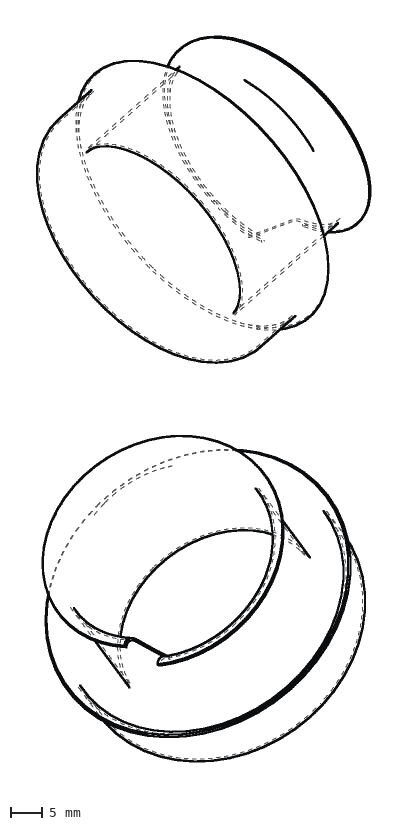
import cadquery as cq
import math

full_turn = 360.0
quarter_turn = full_turn / 4
wall = 0.4
bore_radius = 35.0 / 2
tube_radius = bore_radius + wall
skirt_radius = 49.0 / 2
skirt_inner_radius = skirt_radius - wall

lip_radius = (skirt_radius - bore_radius) / 2
lip_center_radius = (skirt_radius + bore_radius) / 2

rim_radius = 52.27 / 2
skirt_straight_end = 11.45
flare_outer_radius = 2.8
flare_angle = math.radians(45)
flare_arc_width = flare_outer_radius * (1 - math.cos(flare_angle))
flare_lead_out = (rim_radius - skirt_radius - flare_arc_width) / math.sin(flare_angle)

tube_end = 25.1
helix_pitch = 6.66
curl_outer_radius = 2.1
curl_angle = math.radians(80)
curl_lead_out = 0.37
split_angle = 180.0
lead_in_angle = 20.0

seam_lean = math.radians(27)
seam_start_offset = 0.85
seam_block = 60.0


def draw_flare(section, start_r, start_z, arc_radius, angle, lead_out):
    """Continue a section up the outside of a flare, across its edge and down its inside.

    The pen starts on the outer wall face at (start_r, start_z) and ends one wall thickness inside it.
    """
    center_r = start_r + arc_radius

    def arc_point(radius, turn):
        return (center_r - radius * math.cos(turn), start_z + radius * math.sin(turn))

    def lead_out_end(point):
        return (point[0] + lead_out * math.sin(angle), point[1] + lead_out * math.cos(angle))

    inner_arc_radius = arc_radius + wall
    outer_end = arc_point(arc_radius, angle)
    inner_end = arc_point(inner_arc_radius, angle)
    return (
        section.threePointArc(arc_point(arc_radius, angle / 2), outer_end)
        .lineTo(*lead_out_end(outer_end))
        .lineTo(*lead_out_end(inner_end))
        .lineTo(*inner_end)
        .threePointArc(arc_point(inner_arc_radius, angle / 2), (start_r - wall, start_z))
    )


def make_body():
    """Tube, rolled lip and flared skirt, revolved as one sheet section."""
    section = (
        cq.Workplane("XZ")
        .moveTo(bore_radius, tube_end)
        .lineTo(bore_radius, lip_radius)
        .threePointArc((lip_center_radius, 0), (skirt_radius, lip_radius))
        .lineTo(skirt_radius, skirt_straight_end)
    )
    section = draw_flare(
        section, skirt_radius, skirt_straight_end, flare_outer_radius, flare_angle, flare_lead_out
    )
    section = (
        section.lineTo(skirt_inner_radius, lip_radius)
        .threePointArc((lip_center_radius, wall), (tube_radius, lip_radius))
        .lineTo(tube_radius, tube_end)
        .close()
    )
    return section.revolve(full_turn, (0, 0, 0), (0, 1, 0))


def curl_height(angle):
    """Height at which the curl begins, at a turn angle in degrees from the +Y direction."""
    seam_angle = math.degrees(math.asin(seam_start_offset / tube_radius))
    return tube_end + helix_pitch * (angle + seam_angle) / full_turn


def sweep_flange(start_angle, end_angle):
    """Sweep the wall and its curl along the helix between two turn angles in degrees."""
    rise = helix_pitch * (end_angle - start_angle) / full_turn
    path = cq.Workplane(cq.Wire.makeHelix(helix_pitch, rise, tube_radius))
    wall_depth = helix_pitch + wall
    section = (
        cq.Workplane("XZ")
        .moveTo(bore_radius, -wall_depth)
        .lineTo(tube_radius, -wall_depth)
        .lineTo(tube_radius, 0)
    )
    section = draw_flare(section, tube_radius, 0, curl_outer_radius, curl_angle, curl_lead_out).close()
    flange = section.sweep(path, isFrenet=True)
    flange = flange.rotate((0, 0, 0), (0, 0, 1), quarter_turn + start_angle)
    return flange.translate((0, 0, curl_height(start_angle)))


def make_seam_block(side):
    """Half-space block on one side of the seam (side = +1 for +X, -1 for -X), at Y > 0 only."""
    block = cq.Workplane("XY").box(seam_block, seam_block, 2 * seam_block)
    block = block.translate((side * seam_block / 2, seam_block / 2, 0))
    block = block.rotate((0, 0, 0), (0, 1, 0), math.degrees(seam_lean))
    return block.translate((seam_start_offset, 0, tube_end))


def make_flange_stretches():
    """One full turn in two stretches, trimmed at the seam and squared off at the tube end."""
    below_tube_end = cq.Workplane("XY").circle(rim_radius).extrude(tube_end)
    first = sweep_flange(-lead_in_angle, split_angle).cut(make_seam_block(1))
    last = sweep_flange(split_angle, full_turn).cut(make_seam_block(-1))
    return [stretch.cut(below_tube_end) for stretch in (first, last)]


result = make_body()
for stretch in make_flange_stretches():
    result = result.union(stretch)
result = result.rotate((0, 0, 0), (1, 0, 0), -quarter_turn)